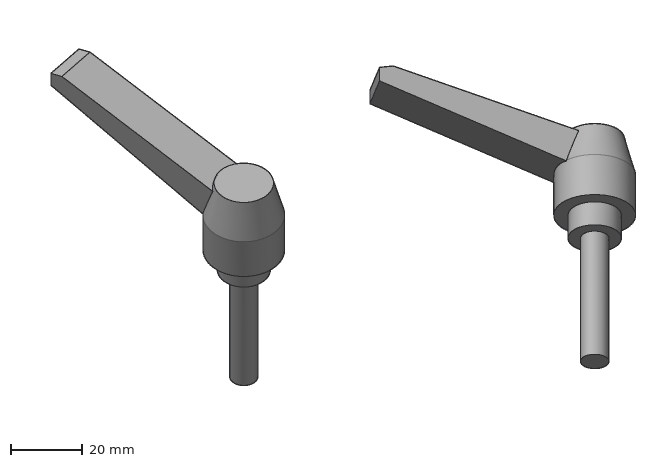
import cadquery as cq
import math


STUD_DIAMETER = 8.0
STUD_LENGTH = 40.0
COLLAR_DIAMETER = 15.0
COLLAR_HEIGHT = 7.5

HUB_DIAMETER = 23.0
HUB_TOP_DIAMETER = 16.7
HUB_CYLINDER_HEIGHT = 13.0
HUB_CONE_HEIGHT = 11.9
HUB_BOTTOM_Z = STUD_LENGTH + COLLAR_HEIGHT

OVERALL_HEIGHT = 85.1
OVERALL_LENGTH = 74.5
LEVER_WIDTH = 13.0
LEVER_TOP_ANGLE = 15.3
LEVER_BOTTOM_ANGLE = 20.0
TIP_BEVEL_LENGTH = 3.9
TIP_BEVEL_DROP = 0.9
TIP_FACE_HEIGHT = 4.4
LEVER_ROOT_X = -5.1


def make_stud():
    """Plain stud with a larger collar that seats against the hub."""
    shank = cq.Workplane("XY").circle(STUD_DIAMETER / 2).extrude(STUD_LENGTH)
    collar = (
        cq.Workplane("XY", origin=(0, 0, STUD_LENGTH))
        .circle(COLLAR_DIAMETER / 2)
        .extrude(COLLAR_HEIGHT)
    )
    return shank.union(collar)


def make_hub():
    """Cylinder with a tapered top, revolved about Z."""
    cone_base_z = HUB_BOTTOM_Z + HUB_CYLINDER_HEIGHT
    top_z = cone_base_z + HUB_CONE_HEIGHT
    return (
        cq.Workplane("XZ")
        .moveTo(0, HUB_BOTTOM_Z)
        .lineTo(HUB_DIAMETER / 2, HUB_BOTTOM_Z)
        .lineTo(HUB_DIAMETER / 2, cone_base_z)
        .lineTo(HUB_TOP_DIAMETER / 2, top_z)
        .lineTo(0, top_z)
        .close()
        .revolve(360, (0, 0, 0), (0, 1, 0))
    )


def make_lever():
    """Flat-sided bar that thickens from its bevelled tip to the hub."""
    tip_x = HUB_DIAMETER / 2 - OVERALL_LENGTH
    bevel_x = tip_x + TIP_BEVEL_LENGTH
    tip_top_z = OVERALL_HEIGHT - TIP_BEVEL_DROP
    tip_bottom_z = tip_top_z - TIP_FACE_HEIGHT
    top_slope = math.tan(math.radians(LEVER_TOP_ANGLE))
    bottom_slope = math.tan(math.radians(LEVER_BOTTOM_ANGLE))
    root_top_z = OVERALL_HEIGHT - (LEVER_ROOT_X - bevel_x) * top_slope
    root_bottom_z = tip_bottom_z - (LEVER_ROOT_X - tip_x) * bottom_slope
    outline = [
        (tip_x, tip_bottom_z),
        (tip_x, tip_top_z),
        (bevel_x, OVERALL_HEIGHT),
        (LEVER_ROOT_X, root_top_z),
        (LEVER_ROOT_X, root_bottom_z),
    ]
    return cq.Workplane("XZ").polyline(outline).close().extrude(LEVER_WIDTH / 2, both=True)


handle = make_hub().union(make_lever())
stud = make_stud()

result = cq.Compound.makeCompound([handle.solids().val(), stud.solids().val()])